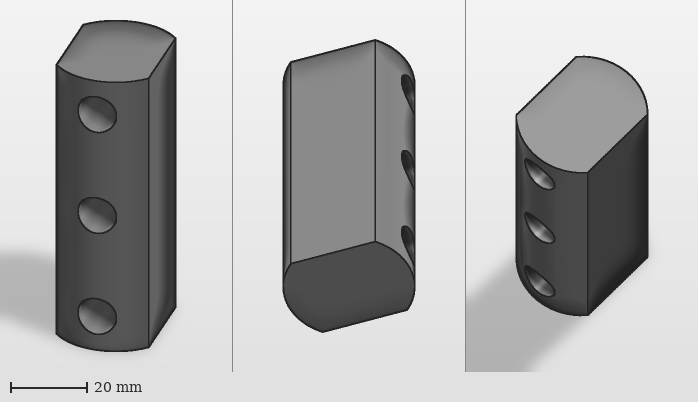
import cadquery as cq

height = 80.0
round_diameter = 34.6
width_across_flats = 25.4
hole_diameter = 10.6
hole_spacing = 30.0


def flatted_bar():
    """Upright round bar cut by two flats facing -X and +X."""
    cylinder = cq.Workplane("XY").circle(round_diameter / 2).extrude(height)
    slab = cq.Workplane("XY").rect(width_across_flats, round_diameter).extrude(height)
    return cylinder.intersect(slab)


def cross_holes():
    """Three holes through the bar along Y, centred on its height."""
    return (
        cq.Workplane("XZ")
        .center(0, height / 2)
        .rarray(0.8, hole_spacing, 1, 3)
        .circle(hole_diameter / 2)
        .extrude(round_diameter / 2, both=True)
    )


result = flatted_bar().cut(cross_holes())